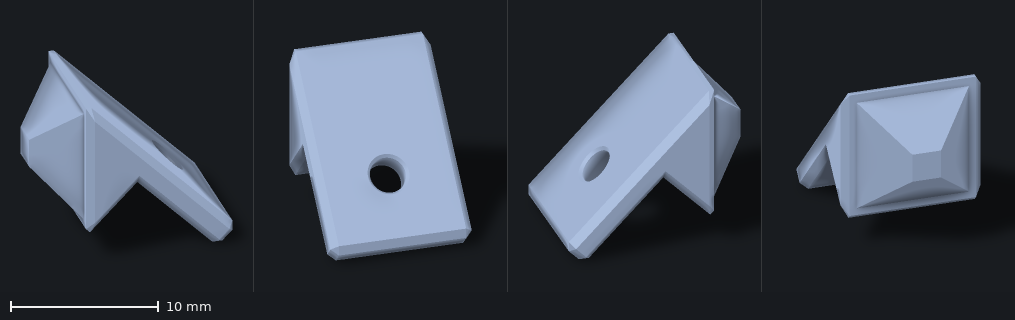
import cadquery as cq
import math

ROOT2 = math.sqrt(2)

width = 10.0
length = 13.3
height = 11.36
bevel = width / 20
plate_thickness = width / 5
front_face_y = 2.98
pyramid_base = 8.0
pyramid_center_z = 6.72
block_inner_y = 6.6
nose_cut_sum = 5.2
hole_diameter = 2.5
hole_bevel = 0.2
hole_y = 10.07

bevel_step = bevel * ROOT2
thickness_step = plate_thickness * ROOT2
plate_end = length - bevel_step
plate_top = 2 * length - plate_end + bevel_step
plate_bottom = plate_top - thickness_step
block_bottom = 2 * block_inner_y - plate_bottom


def crossing(total, difference):
    """Point (Y, Z) with the given Y + Z and Y - Z."""
    return ((total + difference) / 2, (total - difference) / 2)


side_y = front_face_y + bevel
side_top = plate_top - bevel_step
side_bottom = plate_bottom + bevel_step
side_end = plate_end - bevel_step
side_block = block_bottom - bevel_step
corners = [
    (
        (side_y, side_y - side_block),
        [crossing(nose_cut_sum, block_bottom), (front_face_y, nose_cut_sum - front_face_y)],
    ),
    (
        (side_y, side_top - side_y),
        [(front_face_y, height), (plate_top - height, height)],
    ),
    (
        crossing(side_top, side_end),
        [crossing(plate_top, side_end), crossing(side_top, plate_end)],
    ),
    (
        crossing(side_bottom, side_end),
        [crossing(side_bottom, plate_end), crossing(plate_bottom, side_end)],
    ),
    (
        crossing(side_bottom, side_block),
        [crossing(plate_bottom, block_bottom)],
    ),
]


def flat_face(points):
    vectors = [cq.Vector(*point) for point in points]
    return cq.Face.makeFromWires(cq.Wire.makePolygon(vectors, close=True))


def make_body():
    """Plate and block as one flat-sided solid with bevelled edges."""
    side_x = width / 2
    rim_x = side_x - bevel
    rim = [point for _, points in corners for point in points]
    faces = []
    for start, end in zip(rim, rim[1:] + rim[:1]):
        faces.append(flat_face([(-rim_x, *start), (rim_x, *start), (rim_x, *end), (-rim_x, *end)]))
    for sign in (-1, 1):
        faces.append(flat_face([(sign * side_x, *corner) for corner, _ in corners]))
        for (corner, points), (next_corner, next_points) in zip(corners, corners[1:] + corners[:1]):
            faces.append(flat_face([
                (sign * side_x, *corner),
                (sign * rim_x, *points[-1]),
                (sign * rim_x, *next_points[0]),
                (sign * side_x, *next_corner),
            ]))
            if len(points) == 2:
                facet = [(sign * side_x, *corner)] + [(sign * rim_x, *point) for point in points]
                faces.append(flat_face(facet))
    return cq.Workplane(cq.Solid.makeSolid(cq.Shell.makeShell(faces)))


def make_pyramid():
    """Truncated square pyramid whose flat tip points toward -Y."""
    tip = pyramid_base - 2 * front_face_y
    return (
        cq.Workplane("XZ", origin=(0, front_face_y, pyramid_center_z))
        .rect(pyramid_base, pyramid_base)
        .workplane(offset=front_face_y)
        .rect(tip, tip)
        .loft(ruled=True)
    )


def make_hole():
    """Bore square to the plate, bevelled at both ends."""
    bore_radius = hole_diameter / 2
    rim_radius = bore_radius + hole_bevel
    half_section = [
        (0, 0),
        (rim_radius, 0),
        (bore_radius, hole_bevel),
        (bore_radius, plate_thickness - hole_bevel),
        (rim_radius, plate_thickness),
        (0, plate_thickness),
    ]
    section_plane = cq.Plane(
        origin=(0, hole_y, plate_top - hole_y),
        xDir=(1, 0, 0),
        normal=(0, 1, -1),
    )
    return cq.Workplane(section_plane).polyline(half_section).close().revolve(360, (0, 0), (0, 1))


result = make_body().union(make_pyramid()).cut(make_hole())